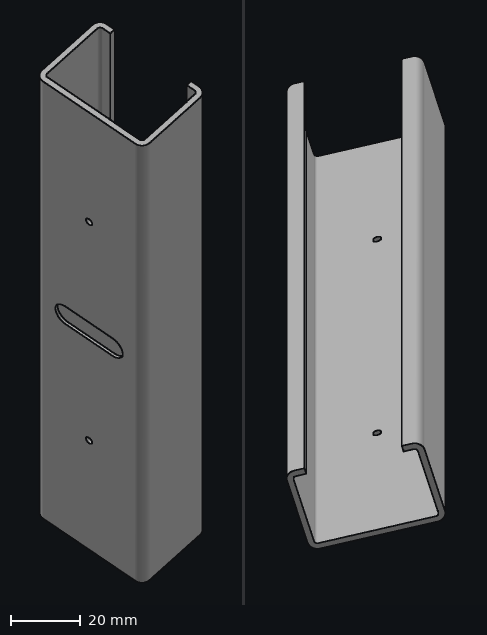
import cadquery as cq

length = 200.0
width = 41.0
depth = 28.0
wall = 2.0
outer_radius = 3.0
inner_radius = outer_radius - wall
lip_length = 6.0

recess_length = 25.5
recess_height = 8.0
recess_depth = wall / 2
hole_diameter = 2.5
hole_spacing = length / 2

back_y = depth / 2
front_y = -back_y


def block(x_size, y_min, y_max):
    """Full-length block centred on X and Z between two Y planes."""
    return cq.Workplane("XY").box(x_size, y_max - y_min, length).translate((0, (y_min + y_max) / 2, 0))


def channel():
    """Lipped channel, open toward +Y, with rounded bends."""
    outside = block(width, front_y, back_y).edges("|Z").fillet(outer_radius)
    cavity = block(width - 2 * wall, front_y + wall, back_y - wall)
    cavity = cavity.edges("|Z").fillet(inner_radius)
    mouth = block(width - 2 * lip_length, 0, back_y)
    return outside.cut(cavity).cut(mouth)


def slot_recess():
    """Round-ended shallow recess in the web's outer face."""
    return (
        cq.Workplane("XZ", origin=(0, front_y + recess_depth, 0))
        .slot2D(recess_length, recess_height)
        .extrude(recess_depth)
    )


def pin_holes():
    """Pair of holes through the web, above and below the recess."""
    return (
        cq.Workplane("XZ")
        .pushPoints([(0, -hole_spacing / 2), (0, hole_spacing / 2)])
        .circle(hole_diameter / 2)
        .extrude(depth)
    )


result = channel().cut(slot_recess()).cut(pin_holes())